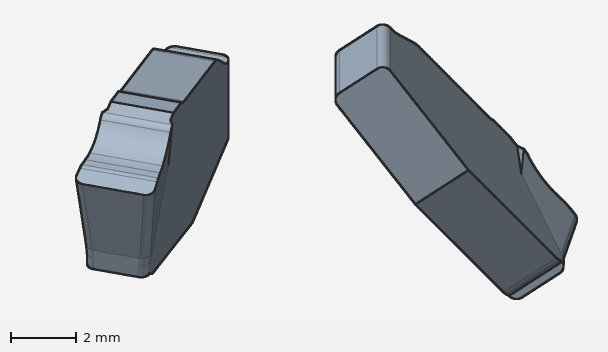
import cadquery as cq
import math

length = 10.01
height = 6.2
body_width = 2.0
corner_radius = 0.29

edge_height = 5.64
heel_setback = 0.35
heel_bottom = 1.99
heel_top = 2.75
round_break = 2.44
crest_front = 2.81
crest_back = 3.37
heel_back = 0.63

underside_end = (0.93, 1.73)
underside_round = (0.86, 1.77)
underside_step = (0.79, 1.82)

land_end = (0.63, 5.71)
land_round = (0.72, 5.72)
land_back = (0.81, 5.71)
breaker_start = (1.12, 5.66)
breaker_blend = (1.32, 5.63)
breaker_low = (1.51, 5.62)
breaker_hollow = (2.08, 5.74)
breaker_end = (2.58, 6.08)
crest_round = (2.68, 6.16)

step_top = (4.29, 5.87)
step_bottom = (4.34, 5.81)
step_hollow = (4.44, 5.73)
back_start = (4.59, 5.67)
back_end = (8.16, 4.37)
ramp_round = (8.35, 4.27)

base_front = 5.59
tail_height = 3.08
tail_flat_start = 9.9
ramp_arc_radius = 0.8
ramp_top_y = 8.52

flare_slope = 0.07
flare_corner_y = 2.79
flare_corner_z = 4.58
flare_back_y = 3.01
front_overshoot = 0.1
tolerance = 0.01


def side_profile():
    """Closed YZ outline of the insert, starting at the rear of the base."""
    sin45 = math.sin(math.radians(45))
    arc_run = ramp_arc_radius * sin45
    arc_rise = ramp_arc_radius * (1 - sin45)
    half_angle = math.radians(45) / 2
    arc_start = (tail_flat_start - arc_run, tail_height + arc_rise)
    arc_middle = (
        tail_flat_start - ramp_arc_radius * math.sin(half_angle),
        tail_height + ramp_arc_radius * (1 - math.cos(half_angle)),
    )
    ramp_top_z = arc_start[1] + arc_start[0] - ramp_top_y
    return (
        cq.Workplane("YZ")
        .moveTo(length, 0)
        .lineTo(base_front, 0)
        .lineTo(*underside_end)
        .threePointArc(underside_round, underside_step)
        .lineTo(heel_back, heel_bottom)
        .lineTo(heel_setback, heel_bottom)
        .lineTo(heel_setback, heel_top)
        .lineTo(0, edge_height)
        .lineTo(*land_end)
        .threePointArc(land_round, land_back)
        .lineTo(*breaker_start)
        .threePointArc(breaker_blend, breaker_low)
        .threePointArc(breaker_hollow, breaker_end)
        .threePointArc(crest_round, (crest_front, height))
        .lineTo(crest_back, height)
        .lineTo(*step_top)
        .lineTo(*step_bottom)
        .threePointArc(step_hollow, back_start)
        .lineTo(*back_end)
        .threePointArc(ramp_round, (ramp_top_y, ramp_top_z))
        .lineTo(*arc_start)
        .threePointArc(arc_middle, (tail_flat_start, tail_height))
        .lineTo(length, tail_height)
        .close()
    )


def slab(width):
    """Side profile extruded symmetrically about the middle plane."""
    return side_profile().extrude(width / 2, both=True)


def flank_x(y, z):
    """Half width of the right flank plane at a given place."""
    above_line = (z - flare_corner_z) - (y - flare_corner_y)
    return body_width / 2 + flare_slope * above_line


def flare():
    """Wedge that widens the right side toward the cutting edge."""
    side = body_width / 2
    front = -front_overshoot
    front_low_z = flare_corner_z + front - flare_corner_y
    corner = cq.Vector(side, flare_corner_y, flare_corner_z)
    low = cq.Vector(side, front, front_low_z)
    back_in = cq.Vector(side, flare_back_y, height)
    back_out = cq.Vector(flank_x(crest_front, height), crest_front, height)
    front_in = cq.Vector(side, front, height)
    front_out = cq.Vector(flank_x(front, height), front, height)
    outlines = [
        [corner, low, front_in, back_in],
        [corner, back_out, front_out, low],
        [back_in, front_in, front_out, back_out],
        [low, front_out, front_in],
        [corner, back_in, back_out],
    ]
    faces = [cq.Face.makeFromWires(cq.Wire.makePolygon(p, close=True)) for p in outlines]
    return cq.Workplane(cq.Solid.makeSolid(cq.Shell.makeShell(faces)))


def corner_section(z):
    """Wire at height z enclosing the material outside the right front corner round."""
    lean = heel_setback / (edge_height - heel_top)
    front_y = heel_setback - lean * max(z - heel_top, 0)
    side_y = front_y + corner_radius
    side_x = max(flank_x(side_y, z), body_width / 2)
    inner_x = max(flank_x(front_y, z), body_width / 2) - corner_radius
    inset = 1 - math.sin(math.radians(45))
    middle = cq.Vector(side_x - (side_x - inner_x) * inset, front_y + corner_radius * inset, z)
    outer_x = side_x + corner_radius
    outer_y = front_y - corner_radius
    start = cq.Vector(inner_x, front_y, z)
    end = cq.Vector(side_x, side_y, z)
    outside = [end, cq.Vector(outer_x, side_y, z), cq.Vector(outer_x, outer_y, z)]
    outside += [cq.Vector(inner_x, outer_y, z), start]
    edges = [cq.Edge.makeThreePointArc(start, middle, end)]
    edges += [cq.Edge.makeLine(a, b) for a, b in zip(outside, outside[1:])]
    return cq.Wire.assembleEdges(edges)


def corner_cut(low_z, high_z):
    """Cutter rounding the right front corner between two heights."""
    sections = [corner_section(low_z), corner_section(high_z)]
    return cq.Workplane(cq.Solid.makeLoft(sections, True))


right_flare = flare().intersect(slab(2 * body_width))
left_flare = right_flare.mirror("YZ")
body = slab(body_width).union(right_flare).union(left_flare)

tail_corners = cq.selectors.BoxSelector(
    (-body_width, length - tolerance, 0), (body_width, length + tolerance, height)
)
body = body.edges("|Z").edges(tail_corners).fillet(corner_radius)
for low_z, high_z in ((heel_bottom, round_break), (round_break, heel_top), (heel_top, height)):
    right_cut = corner_cut(low_z, high_z)
    body = body.cut(right_cut).cut(right_cut.mirror("YZ"))

result = body